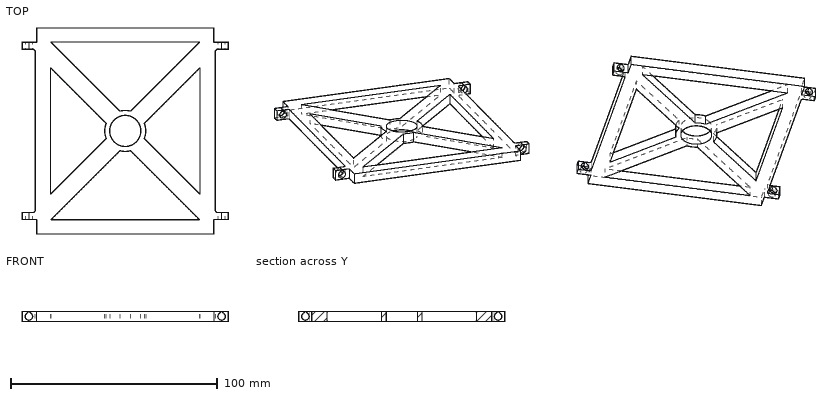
import cadquery as cq
import math

size = 100.0
thickness = 5.0

rail_width = 7.0
end_half_length = 43.0
side_outer_x = 43.7
side_inner_x = 36.2
window_half_y = size / 2 - rail_width

lug_thickness = 3.5
lug_outer_y = window_half_y
lug_inner_y = lug_outer_y - lug_thickness
lug_fillet = 1.0
pin_hole_radius = 1.75
pin_hole_x = 46.7

hub_diameter = 20.0
bore_diameter = 15.0
brace_width = 9.0
brace_offset = 0.5


def box(x_length, y_length):
    """Plate of full thickness centered on the Z axis and standing on Z = 0."""
    return cq.Workplane("XY").rect(x_length, y_length).extrude(thickness)


def frame():
    """Outer frame with all four lugs, before the pin holes are cut."""
    ends = box(2 * end_half_length, size)
    sides = box(2 * side_outer_x, 2 * lug_outer_y)
    lugs = box(size, 2 * lug_outer_y).cut(box(size, 2 * lug_inner_y))
    outline = sides.union(lugs)
    for x_side in (-1, 1):
        for y_side in (-1, 1):
            corner = (x_side * side_outer_x, y_side * lug_inner_y, thickness / 2)
            edge = cq.selectors.NearestToPointSelector(corner)
            outline = outline.edges("|Z").edges(edge).fillet(lug_fillet)
    window = box(2 * side_inner_x, 2 * window_half_y)
    return ends.union(outline).cut(window)


def braces():
    """Four 45 degree arms from the hub to the frame corners."""
    reach = math.hypot(side_outer_x, lug_inner_y)
    bounds = box(2 * side_outer_x, 2 * window_half_y)
    arm = (
        cq.Workplane("XY")
        .center(0, brace_offset)
        .rect(reach, brace_width, centered=(False, True))
        .extrude(thickness)
        .rotate((0, 0, 0), (0, 0, 1), 45)
    )
    arms = arm.union(arm.mirror("YZ"))
    return arms.union(arms.mirror("XZ")).intersect(bounds)


def pin_hole(x):
    """Teardrop hole along Y through both lugs on one side, with its 90 degree peak upward."""
    tangent = pin_hole_radius / math.sqrt(2)
    return (
        cq.Workplane("XZ", origin=(x, 0, thickness / 2))
        .moveTo(-tangent, tangent)
        .threePointArc((0, -pin_hole_radius), (tangent, tangent))
        .lineTo(0, 2 * tangent)
        .close()
        .extrude(size / 2, both=True)
    )


hub = cq.Workplane("XY").circle(hub_diameter / 2).extrude(thickness)
bore = cq.Workplane("XY").circle(bore_diameter / 2).extrude(thickness)

result = frame().union(braces()).union(hub).cut(bore)
for side in (-1, 1):
    result = result.cut(pin_hole(side * pin_hole_x))